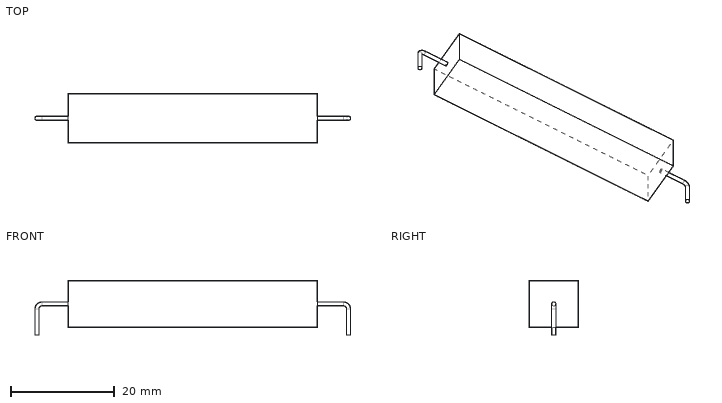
import cadquery as cq

span_x = 60.8
body_length = 48.0
body_width = 9.5
body_height = 9.0

wire_diameter = 0.8
lead_tip_drop = 1.5
bend_radius = 1.0
wire_radius = wire_diameter / 2
lead_pitch = span_x - wire_diameter

lead_height = body_height / 2


def make_body():
    """Rectangular resistor body."""
    return cq.Workplane("XY").box(
        body_length, body_width, body_height, centered=(True, True, False)
    )


def make_lead(side):
    """Round wire that leaves an end face and bends straight down; side is -1 or +1."""
    face_x = side * body_length / 2
    leg_x = side * lead_pitch / 2
    bend_start_x = leg_x - side * bend_radius
    bend_end_z = lead_height - bend_radius
    path = (
        cq.Workplane("XZ")
        .moveTo(face_x, lead_height)
        .lineTo(bend_start_x, lead_height)
        .tangentArcPoint((leg_x, bend_end_z), relative=False)
        .lineTo(leg_x, -lead_tip_drop)
    )
    section = cq.Workplane("YZ", origin=(face_x, 0, lead_height)).circle(wire_radius)
    return section.sweep(path)


body = make_body()
leads = [make_lead(side) for side in (-1, 1)]

result = cq.Compound.makeCompound([body.val(), *[lead.val() for lead in leads]])